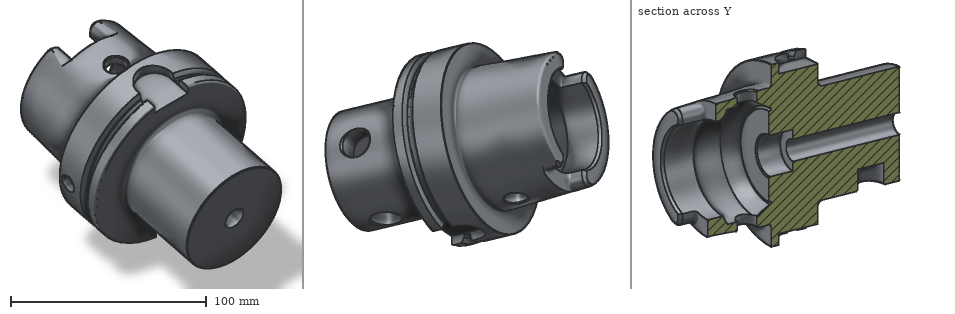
import cadquery as cq
import math

taper_front_x = -49.8
shank_end_x = 80.0

taper_large_radius = 37.8
taper_large_x = -2.9
taper_slope = 1 / 20
taper_front_round = 2.0
neck_radius = 75.27 / 2
neck_start_x = -1.8
neck_root_round = 1.5

flange_radius = 100.3 / 2
flange_width = 29.2
flange_front_chamfer = 0.3
flange_back_round = 1.2
groove_center_x = 20.1
groove_floor_radius = 46.0
groove_floor_width = 3.4
groove_wall_radius = 47.4
groove_mouth_width = 6.1
groove_floor_round = 0.6

shank_radius = 63.0 / 2
shank_root_round = 3.0
shank_end_chamfer = 0.5

bore_radius = 52.7 / 2
bore_mouth_chamfer = 0.95
bore_mouth_length = 1.65
bore_straight_end_x = -30.0
clamp_groove_radius = 63.0 / 2
clamp_shoulder_angle = 60.0
clamp_groove_end_x = -9.7
channel_round = 0.75
channel_taper_angle = 30.0
floor_boss_x = -1.5
floor_boss_radius = 49.8 / 2
tube_bore_radius = 22.5 / 2
tube_bore_depth = 15.0
tube_bore_chamfer = 0.7
coolant_radius = 12.0 / 2

drive_slot_half_width = 10.0
drive_slot_floor_round = 2.0
drive_slot_tip_chamfer = 1.7
drive_slot_corner_radius = 4.9
drive_slot_land_top_z = 32.0
drive_slot_land_slope = 19.0
drive_slot_reach = 45.0
upper_drive_slot_end_x = -34.6
lower_drive_slot_end_x = -39.6

cross_hole_x = -14.9
cross_hole_radius = 12.0 / 2
cross_hole_chamfer = 0.7

keyway_front_x = 4.9
keyway_floor_z = 44.0
upper_keyway_width = 22.0
lower_keyway_width = 20.0

chip_hole_x = 7.1
chip_hole_radius = 10.0 / 2
chip_hole_depth = 4.6

screw_hole_x = 62.0
screw_hole_radius = 16.0 / 2
screw_hole_depth = 12.0
screw_hole_mouth_radius = 18.0 / 2


def taper_radius_at(x):
    return taper_large_radius - (taper_large_x - x) * taper_slope


def revolve_about_x(outline):
    return outline.close().revolve(360, (0, 0, 0), (1, 0, 0))


def turned(shape, angle):
    """Shape turned about the X axis."""
    return shape.rotate((0, 0, 0), (1, 0, 0), angle)


def make_blank():
    """Turned outside of the holder: taper, neck, flange with gripper groove, and shank."""
    floor_start_x = groove_center_x - groove_floor_width / 2
    floor_end_x = groove_center_x + groove_floor_width / 2
    floor_corner_radius = groove_floor_radius + groove_floor_round
    outline = (
        cq.Workplane("XY")
        .moveTo(taper_front_x, 0)
        .lineTo(taper_front_x, taper_radius_at(taper_front_x))
        .lineTo(taper_large_x, taper_large_radius)
        .lineTo(neck_start_x, neck_radius)
        .lineTo(-neck_root_round, neck_radius)
        .radiusArc((0, neck_radius + neck_root_round), -neck_root_round)
        .lineTo(0, flange_radius - flange_front_chamfer)
        .lineTo(flange_front_chamfer, flange_radius)
        .lineTo(groove_center_x - groove_mouth_width / 2, flange_radius)
        .lineTo(floor_start_x, groove_wall_radius)
        .lineTo(floor_start_x, floor_corner_radius)
        .radiusArc((floor_start_x + groove_floor_round, groove_floor_radius), -groove_floor_round)
        .lineTo(floor_end_x - groove_floor_round, groove_floor_radius)
        .radiusArc((floor_end_x, floor_corner_radius), -groove_floor_round)
        .lineTo(floor_end_x, groove_wall_radius)
        .lineTo(groove_center_x + groove_mouth_width / 2, flange_radius)
        .lineTo(flange_width - flange_back_round, flange_radius)
        .radiusArc((flange_width, flange_radius - flange_back_round), flange_back_round)
        .lineTo(flange_width, shank_radius + shank_root_round)
        .radiusArc((flange_width + shank_root_round, shank_radius), -shank_root_round)
        .lineTo(shank_end_x - shank_end_chamfer, shank_radius)
        .lineTo(shank_end_x, shank_radius - shank_end_chamfer)
        .lineTo(shank_end_x, 0)
    )
    return revolve_about_x(outline).faces("<X").edges().fillet(taper_front_round)


def make_bore():
    """Cutter for the stepped bore that runs through the whole holder."""
    shoulder_length = (clamp_groove_radius - bore_radius) / math.tan(math.radians(clamp_shoulder_angle))
    channel_outer_radius = floor_boss_radius + 2 * channel_round
    channel_depth = clamp_groove_radius - channel_outer_radius
    channel_length = channel_depth / math.tan(math.radians(channel_taper_angle))
    channel_end_x = clamp_groove_end_x + channel_length
    tube_bore_end_x = floor_boss_x + tube_bore_depth
    outline = (
        cq.Workplane("XY")
        .moveTo(taper_front_x, 0)
        .lineTo(taper_front_x, bore_radius + bore_mouth_chamfer)
        .lineTo(taper_front_x + bore_mouth_length, bore_radius)
        .lineTo(bore_straight_end_x, bore_radius)
        .lineTo(bore_straight_end_x + shoulder_length, clamp_groove_radius)
        .lineTo(clamp_groove_end_x, clamp_groove_radius)
        .lineTo(channel_end_x, channel_outer_radius)
        .threePointArc(
            (channel_end_x + channel_round, floor_boss_radius + channel_round),
            (channel_end_x, floor_boss_radius),
        )
        .lineTo(floor_boss_x, floor_boss_radius)
        .lineTo(floor_boss_x, tube_bore_radius + tube_bore_chamfer)
        .lineTo(floor_boss_x + tube_bore_chamfer, tube_bore_radius)
        .lineTo(tube_bore_end_x, tube_bore_radius)
        .lineTo(tube_bore_end_x, coolant_radius)
        .lineTo(shank_end_x, coolant_radius)
        .lineTo(shank_end_x, 0)
    )
    return revolve_about_x(outline)


def drive_slot_outline(offset):
    """Slot section on the taper's front face, with its walls and lands moved into the metal by `offset`."""
    slope = math.radians(drive_slot_land_slope)
    corner = drive_slot_corner_radius - offset
    wall_y = drive_slot_half_width + offset
    center_y = wall_y + corner
    center_z = drive_slot_land_top_z - drive_slot_corner_radius
    arc_end_y = center_y + corner * math.sin(slope)
    arc_end_z = center_z + corner * math.cos(slope)
    reach = drive_slot_reach
    land_end_z = arc_end_z - (reach - arc_end_y) * math.tan(slope)
    return (
        cq.Workplane("YZ", origin=(taper_front_x, 0, 0))
        .moveTo(-wall_y, 0)
        .lineTo(-wall_y, center_z)
        .radiusArc((-arc_end_y, arc_end_z), -corner)
        .lineTo(-reach, land_end_z)
        .lineTo(-reach, reach)
        .lineTo(reach, reach)
        .lineTo(reach, land_end_z)
        .lineTo(arc_end_y, arc_end_z)
        .radiusArc((wall_y, center_z), -corner)
        .lineTo(wall_y, 0)
        .close()
    )


def make_drive_slot(end_x):
    """Cutter for one drive slot, rounded at its end and bevelled at its mouth."""
    margin = 0.1
    wall_edges = cq.selectors.BoxSelector(
        (end_x - margin, margin - drive_slot_reach, margin),
        (end_x + margin, drive_slot_reach - margin, drive_slot_reach - margin),
    )
    slot = drive_slot_outline(0).extrude(end_x - taper_front_x)
    slot = slot.edges(wall_edges).fillet(drive_slot_floor_round)
    bevel = drive_slot_outline(drive_slot_tip_chamfer).extrude(drive_slot_tip_chamfer, taper=45)
    return slot.union(bevel)


def make_keyway(width):
    """Cutter for a flat-floored keyway with a round front end, open at the back of the flange."""
    round_center_x = keyway_front_x + width / 2
    outline = (
        cq.Workplane("XY", origin=(0, 0, keyway_floor_z))
        .moveTo(flange_width, -width / 2)
        .lineTo(round_center_x, -width / 2)
        .threePointArc((keyway_front_x, 0), (round_center_x, width / 2))
        .lineTo(flange_width, width / 2)
        .close()
    )
    return outline.extrude(flange_radius - keyway_floor_z)


def make_cross_hole():
    return (
        cq.Workplane("XY", origin=(cross_hole_x, 0, -flange_radius))
        .circle(cross_hole_radius)
        .extrude(2 * flange_radius)
    )


def cross_hole_mouth(side):
    """Selects the rim of the cross hole on the outside of the taper, at +Z or -Z by `side`."""
    margin = 1.0
    rim_z = side * taper_radius_at(cross_hole_x)
    return cq.selectors.BoxSelector(
        (cross_hole_x - margin, -margin, rim_z - margin),
        (cross_hole_x + margin, margin, rim_z + margin),
    )


def make_screw_hole():
    """Cutter for a screw hole drilled down from the +Z side, with a 45 degree countersink."""
    radius = screw_hole_radius
    mouth_radius = screw_hole_mouth_radius
    bevel = mouth_radius - radius
    surface_z = shank_radius
    floor_z = surface_z - screw_hole_depth
    outline = (
        cq.Workplane("XZ")
        .moveTo(0, floor_z)
        .lineTo(radius, floor_z)
        .lineTo(radius, surface_z - bevel)
        .lineTo(mouth_radius + bevel, surface_z + bevel)
        .lineTo(0, surface_z + bevel)
        .close()
    )
    return outline.revolve(360, (0, 0, 0), (0, 1, 0)).translate((screw_hole_x, 0, 0))


def make_chip_hole():
    return (
        cq.Workplane("XY", origin=(chip_hole_x, 0, flange_radius - chip_hole_depth))
        .circle(chip_hole_radius)
        .extrude(chip_hole_depth)
    )


holder = make_blank().cut(make_bore())

holder = holder.cut(make_drive_slot(upper_drive_slot_end_x))
holder = holder.cut(turned(make_drive_slot(lower_drive_slot_end_x), 180))

holder = holder.cut(make_keyway(upper_keyway_width))
holder = holder.cut(turned(make_keyway(lower_keyway_width), 180))

holder = holder.cut(make_cross_hole())
holder = holder.edges(cross_hole_mouth(1)).chamfer(cross_hole_chamfer)
holder = holder.edges(cross_hole_mouth(-1)).chamfer(cross_hole_chamfer)

holder = holder.cut(turned(make_chip_hole(), 90))

screw_hole = make_screw_hole()
for angle in (180, -90):
    holder = holder.cut(turned(screw_hole, angle))

result = cq.Compound.makeCompound([holder.val()])